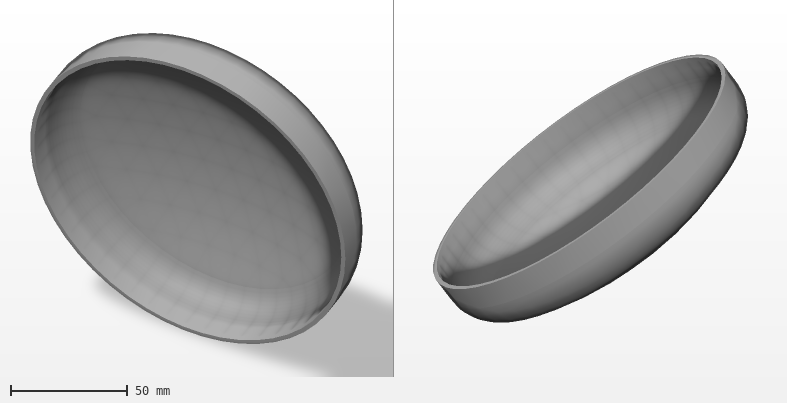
import cadquery as cq
import math

outer_diameter = 154.0
wall = 2.0
straight_flange = 11.0

crown_radius = outer_diameter
knuckle_radius = 0.1 * outer_diameter

outer_radius = outer_diameter / 2
inner_radius = outer_radius - wall
knuckle_centre = inner_radius - knuckle_radius

centre_distance = crown_radius - knuckle_radius
tangent_angle = math.asin(knuckle_centre / centre_distance)
crown_centre = straight_flange - centre_distance * math.cos(tangent_angle)

origin = (0, 0, 0)
axis_direction = (0, 1, 0)


def knuckle_point(angle, radius):
    """Point on a knuckle arc of the given radius, at an angle from the axis."""
    return (
        knuckle_centre + radius * math.sin(angle),
        straight_flange + radius * math.cos(angle),
    )


def knuckle_ring():
    """Straight flange and knuckle, ended square to the skin where the crown starts."""
    outer_knuckle = knuckle_radius + wall
    middle_angle = (tangent_angle + math.pi / 2) / 2
    outer_middle = knuckle_point(middle_angle, outer_knuckle)
    outer_end = knuckle_point(tangent_angle, outer_knuckle)
    inner_middle = knuckle_point(middle_angle, knuckle_radius)
    inner_end = knuckle_point(tangent_angle, knuckle_radius)
    profile = (
        cq.Workplane("XY")
        .moveTo(inner_radius, 0)
        .lineTo(outer_radius, 0)
        .lineTo(outer_radius, straight_flange)
        .threePointArc(outer_middle, outer_end)
        .lineTo(*inner_end)
        .threePointArc(inner_middle, (inner_radius, straight_flange))
        .close()
    )
    return profile.revolve(360, origin, axis_direction)


def spherical_crown():
    """Part of a spherical shell inside the cone that ends the knuckle ring."""
    outer_sphere = cq.Workplane("XY").sphere(crown_radius + wall)
    inner_sphere = cq.Workplane("XY").sphere(crown_radius)
    shell = outer_sphere.cut(inner_sphere)

    cone_height = 2 * crown_radius
    cone = (
        cq.Workplane("XY")
        .lineTo(cone_height * math.tan(tangent_angle), cone_height)
        .lineTo(0, cone_height)
        .close()
        .revolve(360, origin, axis_direction)
    )
    return shell.intersect(cone).translate((0, crown_centre, 0))


result = knuckle_ring().union(spherical_crown())